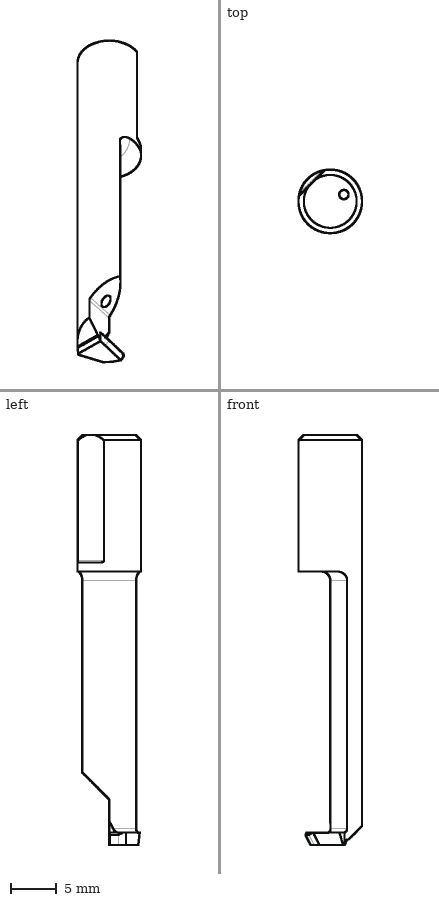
import cadquery as cq
import math

total_length = 45.0
shank_radius = 3.5
shank_length = 15.0
shank_base = total_length - shank_length
top_chamfer = 0.6
margin = 10.0

flat_distance = 2.85
flat_base = 31.0
flat_corner_radius = 0.2
flat_direction = 135.0

neck_radius = 3.3
neck_center_x = neck_radius
neck_top_fillet = 1.0
neck_foot_fillet = 0.45

half_cut_height = 5.0
half_cut_corner_radius = 0.5

coolant_diameter = 1.0
coolant_x = 1.5
coolant_y = 0.75

nose_chamfer_top = 2.1
nose_step_height = 0.6
nose_step_x = 1.85

chip_relief_top = 2.6
chip_relief_depth = 0.5
chip_relief_direction = 135.0

head_height = 1.35
head_back_x = 1.56
head_draft = 27.0
tip_chamfer = 0.25
tip_x = -2.85
rake_drop = 0.1
tip_corner = (-2.45, -1.0)
flank_corner = (-1.87, -1.82)
flank_end = (1.0, -3.35)


def make_bar():
    return (
        cq.Workplane("XY")
        .circle(shank_radius)
        .extrude(total_length)
        .faces(">Z")
        .chamfer(top_chamfer)
    )


def make_flat_cutter():
    """Block beyond the clamping flat, with a rounded inner bottom edge."""
    return (
        cq.Workplane("XY")
        .box(margin, 2 * margin, margin + shank_length, centered=(False, True, False))
        .edges("<X and <Z")
        .fillet(flat_corner_radius)
        .translate((flat_distance, 0, flat_base))
        .rotate((0, 0, 0), (0, 0, 1), flat_direction)
    )


def make_neck_cutter():
    """Ring around the neck arc, filleted into the shank above and the head below."""
    outer_radius = neck_radius + margin
    ring = (
        cq.Workplane("XY")
        .circle(outer_radius)
        .circle(neck_radius)
        .extrude(shank_base - head_height)
    )
    inner_edges = cq.selectors.RadiusNthSelector(0)
    ring = ring.faces(">Z").edges(inner_edges).fillet(neck_top_fillet)
    ring = ring.faces("<Z").edges(inner_edges).fillet(neck_foot_fillet)
    return ring.translate((neck_center_x, 0, head_height))


def make_half_cutter():
    """Removes the +Y half of the nose up to a 45 degree run-out."""
    return (
        cq.Workplane("YZ")
        .moveTo(0, -margin)
        .lineTo(0, half_cut_height)
        .lineTo(margin, half_cut_height + margin)
        .lineTo(margin, -margin)
        .close()
        .extrude(margin, both=True)
        .edges(cq.selectors.NearestToPointSelector((0, 0, half_cut_height)))
        .fillet(half_cut_corner_radius)
    )


def make_nose_cutter():
    """Shapes the underside: 45 degree chamfer, short step and slope to the head."""
    chamfer_run = nose_chamfer_top - nose_step_height
    return (
        cq.Workplane("XZ")
        .moveTo(shank_radius, nose_chamfer_top)
        .lineTo(shank_radius - chamfer_run, nose_step_height)
        .lineTo(nose_step_x, nose_step_height)
        .lineTo(head_back_x, 0)
        .lineTo(shank_radius, 0)
        .close()
        .extrude(margin, both=True)
    )


def make_chip_relief_cutter():
    """Sloped wedge that bevels the edge between the neck and the rake face."""
    return (
        cq.Workplane("XZ")
        .moveTo(0, chip_relief_top)
        .lineTo(-chip_relief_depth, head_height)
        .lineTo(margin, head_height)
        .lineTo(margin, chip_relief_top)
        .close()
        .extrude(margin, both=True)
        .rotate((0, 0, 0), (0, 0, 1), chip_relief_direction)
    )


def make_head_space():
    """Room taken by the cutting head: everything below its top and ahead of its back."""
    return (
        cq.Workplane("XY")
        .box(margin, 2 * margin, head_height, centered=(False, True, False))
        .translate((head_back_x - margin, 0, 0))
    )


def make_head():
    """Drafted prism: every outline point leans towards +X on the way down."""
    lean = head_height * math.tan(math.radians(head_draft))
    slope = (flank_end[1] - flank_corner[1]) / (flank_end[0] - flank_corner[0])
    outline = [
        (tip_x, -rake_drop),
        tip_corner,
        flank_corner,
        (shank_radius, flank_corner[1] + slope * (shank_radius - flank_corner[0])),
        (shank_radius, 0),
        (0, 0),
    ]
    head = (
        cq.Workplane("XY")
        .polyline([(x + lean, y) for x, y in outline])
        .close()
        .workplane(offset=head_height)
        .polyline(outline)
        .close()
        .loft(ruled=True)
    )
    tip_edge = ((tip_x + tip_corner[0]) / 2, (tip_corner[1] - rake_drop) / 2, head_height)
    head = head.edges(cq.selectors.NearestToPointSelector(tip_edge)).chamfer(tip_chamfer)
    envelope = cq.Workplane("XY").circle(shank_radius).extrude(head_height)
    return head.intersect(envelope).intersect(make_head_space())


def make_holder():
    coolant_bore = (
        cq.Workplane("XY")
        .center(coolant_x, coolant_y)
        .circle(coolant_diameter / 2)
        .extrude(total_length)
    )
    return (
        make_bar()
        .cut(make_flat_cutter())
        .cut(make_neck_cutter())
        .cut(make_half_cutter())
        .cut(make_nose_cutter())
        .cut(make_chip_relief_cutter())
        .cut(make_head_space())
        .cut(coolant_bore)
    )


holder = make_holder()
head = make_head()
result = cq.Compound.makeCompound([holder.val(), head.val()])